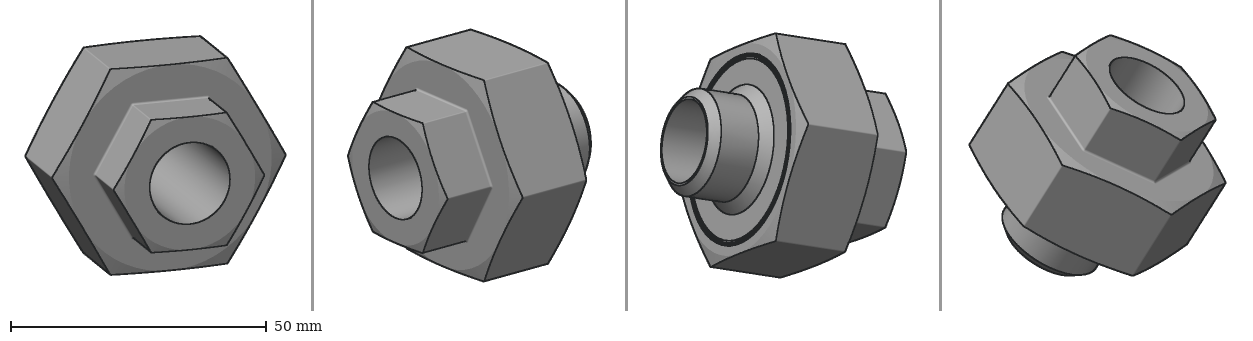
import cadquery as cq
import math

part_length = 42.0

nut_flats = 42.0
nut_start = 12.7
nut_end = 30.4

end_flats = 27.1
root_radius = 0.45

corner_round = 0.35
bevel_angle = math.radians(15)

tail_diameter = 21.35
tail_radius = tail_diameter / 2
tail_bevel = 1.9
bore_radius = 8.32
cone_radius = 12.87
cone_start = nut_start - (cone_radius - tail_radius)

gap_inner_radius = 18.7
gap_outer_radius = 19.0
gap_depth = 0.95

groove_inner_radius = 18.0
groove_outer_radius = 18.4
groove_depth = 0.1


def corner_radius(flats):
    """Distance from the axis to a sharp corner of a hexagon."""
    return flats / 2 / math.cos(math.pi / 6)


def turned(profile):
    """Close a half profile and revolve it about the X axis."""
    return profile.close().revolve(360, (0, 0, 0), (1, 0, 0))


def hexagon(flats, start, end):
    """Hexagonal bar along X with flats facing +Z and -Z and rounded long edges."""
    corner_diameter = 2 * corner_radius(flats)
    bar = cq.Workplane("YZ", origin=(start, 0, 0)).polygon(6, corner_diameter).extrude(end - start)
    return bar.edges("|X").fillet(corner_round)


def corner_bevel(flats, start, end, bevel_start):
    """Turned envelope whose conical ends bevel the hexagon corners down to the inscribed circle."""
    face_radius = flats / 2
    outer_radius = corner_radius(flats)
    bevel_depth = (outer_radius - face_radius) * math.tan(bevel_angle)
    profile = cq.Workplane("XY").moveTo(start, 0)
    if bevel_start:
        profile = profile.lineTo(start, face_radius).lineTo(start + bevel_depth, outer_radius)
    else:
        profile = profile.lineTo(start, outer_radius)
    profile = profile.lineTo(end - bevel_depth, outer_radius).lineTo(end, face_radius).lineTo(end, 0)
    return turned(profile)


def make_nut():
    bar = hexagon(nut_flats, nut_start, nut_end)
    return bar.intersect(corner_bevel(nut_flats, nut_start, nut_end, True))


def make_threaded_end():
    bar = hexagon(end_flats, nut_end, part_length)
    return bar.intersect(corner_bevel(end_flats, nut_end, part_length, False))


def make_tail():
    return turned(
        cq.Workplane("XY")
        .moveTo(0, 0)
        .lineTo(0, tail_radius - tail_bevel)
        .lineTo(tail_bevel, tail_radius)
        .lineTo(cone_start, tail_radius)
        .lineTo(nut_start, cone_radius)
        .lineTo(nut_start, 0)
    )


def face_groove(inner_radius, outer_radius, depth):
    """Ring-shaped cutter sunk into the tail-side face of the nut."""
    face = cq.Workplane("YZ", origin=(nut_start, 0, 0))
    return face.circle(outer_radius).circle(inner_radius).extrude(depth)


body = make_nut().union(make_threaded_end())
root_reach = corner_radius(end_flats)
root_margin = 0.05
root_box = cq.selectors.BoxSelector(
    (nut_end - root_margin, -root_reach, -root_reach),
    (nut_end + root_margin, root_reach, root_reach),
    boundingbox=True,
)
body = body.edges(root_box).fillet(root_radius)

body = body.union(make_tail())
body = body.cut(face_groove(gap_inner_radius, gap_outer_radius, gap_depth))
body = body.cut(face_groove(groove_inner_radius, groove_outer_radius, groove_depth))

bore = cq.Workplane("YZ").circle(bore_radius).extrude(part_length)
result = body.cut(bore)